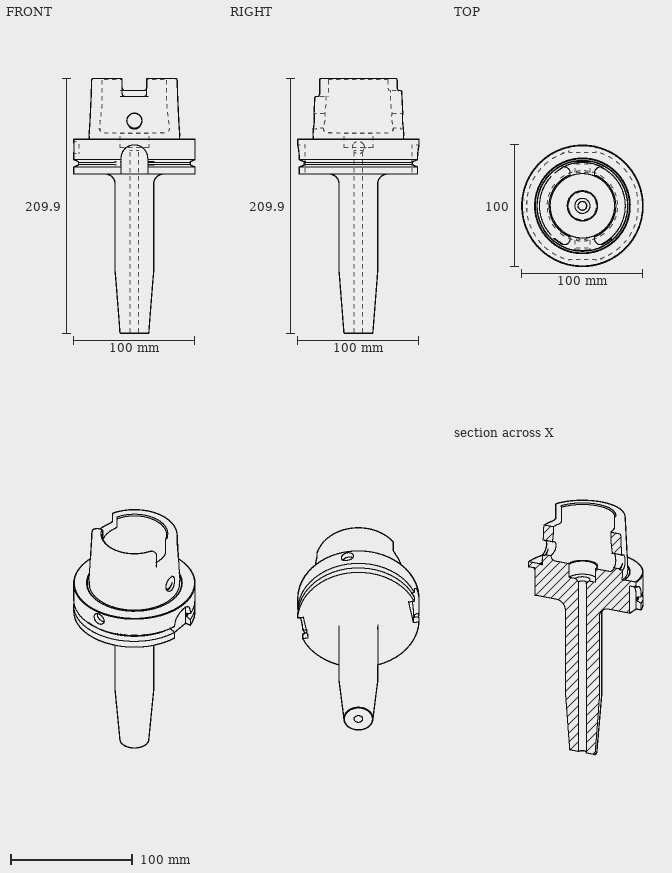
import cadquery as cq
import math


SHANK_LENGTH = 49.9
GAUGE_RADIUS = 37.6
TAPER_RATIO = 1 / 21
RIM_ROUND = 2.0
NECK_RADIUS = 37.2
NECK_HEIGHT = 2.9
FACE_GROOVE_RADIUS = 39.4
FACE_GROOVE_DEPTH = 0.6

FLANGE_RADIUS = 50.0
FLANGE_THICKNESS = 29.0
FLANGE_EDGE = 0.5
GROOVE_RADIUS = 46.0
GROOVE_CENTRE_Z = -20.1
GROOVE_FLOOR_WIDTH = 2.6
GROOVE_MOUTH_WIDTH = 6.0
GROOVE_FILLET = 0.8

BOTTOM_Z = SHANK_LENGTH - 209.9
SHAFT_RADIUS = 16.0
SHAFT_FILLET = 8.0
NOSE_RADIUS = 12.0
NOSE_LENGTH = 51.0
NOSE_CHAMFER = 0.5

BORE_RADIUS = 26.5
BORE_CHAMFER = 1.0
LIP_DEPTH = 20.0
CAVITY_RADIUS = 29.0
CAVITY_FLOOR_RADIUS = 25.0
CAVITY_FLOOR_Z = 5.0
TUBE_SEAT_RADIUS = 12.0
TUBE_SEAT_CHAMFER = 0.5
TUBE_SEAT_DEPTH = 12.0
COOLANT_CONE_RADIUS = 6.2
COOLANT_RADIUS = 3.5

SLOT_HALF_WIDTH = 10.0
SLOT_SHOULDER_Y = 32.0
SLOT_FLARE_RADIUS = 5.0
SLOT_FLARE_END_ANGLE = 58
SLOT_FLOOR_FILLET = 2.0
FRONT_SLOT_DEPTH = 14.9
BACK_SLOT_DEPTH = 10.0
SLOT_EDGE_ROUND = 1.4

CROSS_HOLE_RADIUS = 6.1
CROSS_HOLE_Z = 15.0
ENTRY_RADIUS = 5.5
ENTRY_DROP = 1.4
ENTRY_FLOOR_Y = 34.5
KEYWAY_HALF_WIDTH = 11.0
KEYWAY_TOP_Z = -4.9
KEYWAY_FLOOR_Y = 44.0
CHIP_HOLE_RADIUS = 5.0
CHIP_HOLE_Z = -7.1
CHIP_HOLE_DEPTH = 4.6

OUTSIDE = 2 * FLANGE_RADIUS

PROFILE_PLANE = cq.Plane(origin=(0, 0, 0), xDir=(0, -1, 0), normal=(-1, 0, 0))


def shank_radius(z):
    return GAUGE_RADIUS - TAPER_RATIO * z


def outer_body():
    top_radius = shank_radius(SHANK_LENGTH)
    arc = math.sqrt(0.5)
    groove_floor = GROOVE_FLOOR_WIDTH / 2
    groove_mouth = GROOVE_MOUTH_WIDTH / 2
    fillet_centre = (SHAFT_RADIUS + SHAFT_FILLET, -FLANGE_THICKNESS - SHAFT_FILLET)
    fillet_mid = (fillet_centre[0] - SHAFT_FILLET * arc, fillet_centre[1] + SHAFT_FILLET * arc)
    return (
        cq.Workplane(PROFILE_PLANE)
        .moveTo(0, SHANK_LENGTH)
        .lineTo(top_radius, SHANK_LENGTH)
        .lineTo(shank_radius(NECK_HEIGHT), NECK_HEIGHT)
        .lineTo(NECK_RADIUS, NECK_HEIGHT / 2)
        .lineTo(NECK_RADIUS, -FACE_GROOVE_DEPTH)
        .lineTo(FACE_GROOVE_RADIUS - FACE_GROOVE_DEPTH, -FACE_GROOVE_DEPTH)
        .lineTo(FACE_GROOVE_RADIUS, 0)
        .lineTo(FLANGE_RADIUS - FLANGE_EDGE, 0)
        .lineTo(FLANGE_RADIUS, -FLANGE_EDGE)
        .lineTo(FLANGE_RADIUS, GROOVE_CENTRE_Z + groove_mouth)
        .lineTo(GROOVE_RADIUS, GROOVE_CENTRE_Z + groove_floor)
        .lineTo(GROOVE_RADIUS, GROOVE_CENTRE_Z - groove_floor)
        .lineTo(FLANGE_RADIUS, GROOVE_CENTRE_Z - groove_mouth)
        .lineTo(FLANGE_RADIUS, -FLANGE_THICKNESS)
        .lineTo(fillet_centre[0], -FLANGE_THICKNESS)
        .threePointArc(fillet_mid, (SHAFT_RADIUS, fillet_centre[1]))
        .lineTo(SHAFT_RADIUS, BOTTOM_Z + NOSE_LENGTH)
        .lineTo(NOSE_RADIUS, BOTTOM_Z + NOSE_CHAMFER)
        .lineTo(NOSE_RADIUS - NOSE_CHAMFER, BOTTOM_Z)
        .lineTo(0, BOTTOM_Z)
        .close()
        .revolve(360, (0, 0, 0), (0, 1, 0))
    )


def cavity():
    floor_round = CAVITY_RADIUS - CAVITY_FLOOR_RADIUS
    round_mid_offset = floor_round * math.sqrt(0.5)
    round_mid = (
        CAVITY_FLOOR_RADIUS + round_mid_offset,
        CAVITY_FLOOR_Z + floor_round - round_mid_offset,
    )
    seat_z = CAVITY_FLOOR_Z - TUBE_SEAT_DEPTH
    cone_end_z = seat_z - (COOLANT_CONE_RADIUS - COOLANT_RADIUS)
    return (
        cq.Workplane(PROFILE_PLANE)
        .moveTo(0, SHANK_LENGTH)
        .lineTo(BORE_RADIUS + BORE_CHAMFER, SHANK_LENGTH)
        .lineTo(BORE_RADIUS, SHANK_LENGTH - BORE_CHAMFER)
        .lineTo(BORE_RADIUS, SHANK_LENGTH - LIP_DEPTH)
        .lineTo(CAVITY_RADIUS, CAVITY_FLOOR_Z + floor_round)
        .threePointArc(round_mid, (CAVITY_FLOOR_RADIUS, CAVITY_FLOOR_Z))
        .lineTo(TUBE_SEAT_RADIUS + TUBE_SEAT_CHAMFER, CAVITY_FLOOR_Z)
        .lineTo(TUBE_SEAT_RADIUS, CAVITY_FLOOR_Z - TUBE_SEAT_CHAMFER)
        .lineTo(TUBE_SEAT_RADIUS, seat_z)
        .lineTo(COOLANT_CONE_RADIUS, seat_z)
        .lineTo(COOLANT_RADIUS, cone_end_z)
        .lineTo(COOLANT_RADIUS, BOTTOM_Z)
        .lineTo(0, BOTTOM_Z)
        .close()
        .revolve(360, (0, 0, 0), (0, 1, 0))
    )


def drive_slot(side, depth):
    """Slot cutter on the +Y (side = 1) or -Y (side = -1) part of the rim."""
    flare_x = SLOT_HALF_WIDTH + SLOT_FLARE_RADIUS
    flare_y = SLOT_SHOULDER_Y - SLOT_FLARE_RADIUS
    end_angle = math.radians(SLOT_FLARE_END_ANGLE)
    end_x = flare_x + SLOT_FLARE_RADIUS * math.cos(end_angle)
    end_y = flare_y + SLOT_FLARE_RADIUS * math.sin(end_angle)
    return (
        cq.Workplane("XY", origin=(0, 0, SHANK_LENGTH - depth))
        .moveTo(-SLOT_HALF_WIDTH, 0)
        .lineTo(-SLOT_HALF_WIDTH, side * flare_y)
        .threePointArc((-flare_x, side * SLOT_SHOULDER_Y), (-end_x, side * end_y))
        .lineTo(-2 * end_x, side * 2 * end_y)
        .lineTo(2 * end_x, side * 2 * end_y)
        .lineTo(end_x, side * end_y)
        .threePointArc((flare_x, side * SLOT_SHOULDER_Y), (SLOT_HALF_WIDTH, side * flare_y))
        .lineTo(SLOT_HALF_WIDTH, 0)
        .close()
        .extrude(OUTSIDE)
        .faces("<Z")
        .edges()
        .fillet(SLOT_FLOOR_FILLET)
    )


def keyway(side):
    """Round-ended keyway cutter, open at the lower flange face."""
    arc_centre_z = KEYWAY_TOP_Z - KEYWAY_HALF_WIDTH
    return (
        cq.Workplane("XZ", origin=(0, side * KEYWAY_FLOOR_Y, 0))
        .moveTo(-KEYWAY_HALF_WIDTH, -FLANGE_THICKNESS)
        .lineTo(-KEYWAY_HALF_WIDTH, arc_centre_z)
        .threePointArc((0, KEYWAY_TOP_Z), (KEYWAY_HALF_WIDTH, arc_centre_z))
        .lineTo(KEYWAY_HALF_WIDTH, -FLANGE_THICKNESS)
        .close()
        .extrude(-side * OUTSIDE)
    )


def cross_hole():
    return (
        cq.Workplane("XZ", origin=(0, -OUTSIDE, 0))
        .center(0, CROSS_HOLE_Z)
        .circle(CROSS_HOLE_RADIUS)
        .extrude(-2 * OUTSIDE)
    )


def cross_hole_entry(side):
    """Shallow step that lowers the bottom edge of the cross hole at the shank surface."""
    return (
        cq.Workplane("XZ", origin=(0, side * ENTRY_FLOOR_Y, 0))
        .center(0, CROSS_HOLE_Z - ENTRY_DROP)
        .circle(ENTRY_RADIUS)
        .extrude(-side * OUTSIDE)
    )


def chip_hole():
    return (
        cq.Workplane("YZ", origin=(-FLANGE_RADIUS, 0, 0))
        .center(0, CHIP_HOLE_Z)
        .circle(CHIP_HOLE_RADIUS)
        .extrude(CHIP_HOLE_DEPTH)
    )


def groove_floor_edges():
    """Selects the two circles where the gripper groove floor meets its sides."""
    low_z = GROOVE_CENTRE_Z - 0.75 * GROOVE_FLOOR_WIDTH
    high_z = GROOVE_CENTRE_Z + 0.75 * GROOVE_FLOOR_WIDTH
    return cq.selectors.BoxSelector((-1, -1, low_z), (1, 1, high_z))


def shank_with_slots():
    """Turned body with rounded rim, drive slots and rounded slot edges.

    The slot rounding starts at the rim and follows the smooth edge down to the slot floor.
    """
    body = outer_body().faces(">Z").edges().fillet(RIM_ROUND)
    body = body.edges(groove_floor_edges()).fillet(GROOVE_FILLET)
    for side, depth in ((-1, FRONT_SLOT_DEPTH), (1, BACK_SLOT_DEPTH)):
        body = body.cut(drive_slot(side, depth))
    half_width = SLOT_HALF_WIDTH + SLOT_FLARE_RADIUS
    slot_edges = cq.selectors.BoxSelector((-half_width, -OUTSIDE, 0), (half_width, OUTSIDE, OUTSIDE))
    return body.faces(">Z").edges(slot_edges).fillet(SLOT_EDGE_ROUND)


result = shank_with_slots().cut(cavity())
result = result.cut(cross_hole()).cut(chip_hole())
for holder_side in (-1, 1):
    result = result.cut(cross_hole_entry(holder_side))
    result = result.cut(keyway(holder_side))